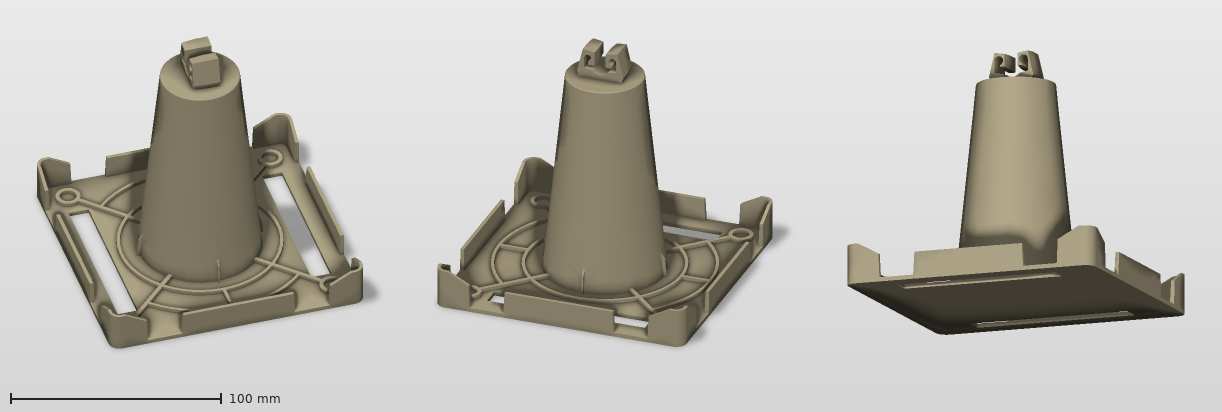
import cadquery as cq
import math

side = 126.0
overall_height = 119.7

plate_thickness = 2.0
corner_radius = 5.3
slot_length = 80.0
slot_width = 10.0
slot_offset = 48.0

wall_foot = 2.1
wall_draft = 2.0
corner_wall_top = 19.3
corner_flat = 6.9
corner_tip_top = 13.6
corner_tip_reach = 17.4
corner_foot_reach = 17.9
side_wall_top = 13.1
side_wall_top_half = 27.3
side_wall_foot_half = 28.0

rib_top = 4.2
rib_width = 1.5
diagonal_rib_width = 2.0
inner_ring_radius = 39.6
outer_ring_radius = 54.2
boss_offset = 50.1
boss_diameter = 12.0
boss_bore = 8.1

pillar_foot_radius = 29.7
pillar_top_radius = 19.0
pillar_top = 104.5
pillar_edge_round = 0.6

fin_width = 0.8
fin_foot_reach = 31.5
fin_shoulder_reach = 30.5
fin_shoulder_height = 11.3
fin_tip_reach = 28.4
fin_top = 14.2

clip_half_length = 6.5
clip_draft = 4.0
clip_foot_half = 10.6
clip_widest_half = 11.7
clip_widest_height = 107.6
clip_crest_half = 8.8
lip_half_gap = 2.8
lip_top = 118.7
lip_bottom = 111.8
lip_tip = 6.0
eye_x = 6.3
eye_height = 115.2
eye_radius = 1.8
floor_edge_height = 109.7
groove_edge_height = 109.0
groove_diameter = 10.0
groove_half_width = 3.9

half_side = side / 2


def cylinder(radius, bottom, top):
    return cq.Workplane("XY").workplane(offset=bottom).circle(radius).extrude(top - bottom)


def ring_rib(radius):
    """Circular rib on the plate, given its outer radius."""
    return cylinder(radius, 0, rib_top).cut(cylinder(radius - rib_width, 0, rib_top))


def spoke_rib(start, end, width, angle):
    """Straight radial rib on the plate."""
    spoke = cq.Workplane("XY").box(end - start, width, rib_top, centered=(False, True, False))
    return spoke.translate((start, 0, 0)).rotate((0, 0, 0), (0, 0, 1), angle)


def four_corners(offset):
    return [(x, y) for x in (-offset, offset) for y in (-offset, offset)]


def make_plate():
    slots = [(0, -slot_offset), (0, slot_offset)]
    plate = cq.Workplane("XY").rect(side, side).extrude(plate_thickness).edges("|Z").fillet(corner_radius)
    return plate.cut(cq.Workplane("XY").pushPoints(slots).rect(slot_length, slot_width).extrude(plate_thickness))


def make_rim():
    """Rim standing on the plate, cut down to four corner walls and four side walls."""
    rim_height = corner_wall_top - plate_thickness
    plate_top = cq.Workplane("XY").workplane(offset=plate_thickness)
    rim = plate_top.rect(side, side).extrude(rim_height).edges("|Z").fillet(corner_radius)
    inner_side = side - 2 * wall_foot
    inner_outline = cq.Sketch().rect(inner_side, inner_side).vertices().fillet(corner_radius - wall_foot)
    rim = rim.cut(plate_top.placeSketch(inner_outline).extrude(rim_height, taper=-wall_draft))

    right_of_gap = [
        (half_side - corner_foot_reach, plate_thickness),
        (half_side - corner_tip_reach, corner_tip_top),
        (half_side - corner_flat, corner_wall_top),
    ]
    left_of_gap = [
        (side_wall_top_half, side_wall_top),
        (side_wall_foot_half, plate_thickness),
    ]
    mirrored_right = [(-x, z) for x, z in reversed(right_of_gap)]
    mirrored_left = [(-x, z) for x, z in reversed(left_of_gap)]
    outline = right_of_gap + mirrored_right + mirrored_left + left_of_gap
    opening = cq.Workplane("XZ").polyline(outline).close().extrude(half_side, both=True)
    return rim.cut(opening).cut(opening.rotate((0, 0, 0), (0, 0, 1), 90))


def make_outer_arcs():
    """Outer ring rib, kept only in the left and right quarters between the diagonals."""
    reach = outer_ring_radius
    quarters = cq.Workplane("XY")
    for direction in (-1, 1):
        corner_x = direction * reach
        triangle = [(0, 0), (corner_x, reach), (corner_x, -reach)]
        quarters = quarters.add(cq.Workplane("XY").polyline(triangle).close().extrude(rib_top))
    return ring_rib(outer_ring_radius).intersect(quarters.combine())


def make_pillar():
    pillar = (
        cq.Workplane("XZ")
        .moveTo(0, 0)
        .lineTo(pillar_foot_radius, 0)
        .lineTo(pillar_foot_radius, plate_thickness)
        .lineTo(pillar_top_radius, pillar_top)
        .lineTo(0, pillar_top)
        .close()
        .revolve(360, (0, 0, 0), (0, 1, 0))
    )
    return pillar.faces(">Z").edges().fillet(pillar_edge_round)


def make_fins():
    """Two crossed blades whose ends stand out of the pillar as four fins."""
    outline = [
        (-fin_foot_reach, 0),
        (-fin_shoulder_reach, fin_shoulder_height),
        (-fin_tip_reach, fin_top),
        (fin_tip_reach, fin_top),
        (fin_shoulder_reach, fin_shoulder_height),
        (fin_foot_reach, 0),
    ]
    blade = cq.Workplane("XZ").polyline(outline).close().extrude(fin_width / 2, both=True)
    return blade.union(blade.rotate((0, 0, 0), (0, 0, 1), 90))


def make_base():
    base = make_plate().union(make_rim())
    base = base.union(ring_rib(inner_ring_radius)).union(make_outer_arcs())
    for angle in (0, 180):
        base = base.union(spoke_rib(inner_ring_radius - rib_width, outer_ring_radius, rib_width, angle))
    boss_distance = boss_offset * math.sqrt(2)
    for angle in (45, 135, 225, 315):
        base = base.union(spoke_rib(0, boss_distance, diagonal_rib_width, angle))
    bosses = cq.Workplane("XY").pushPoints(four_corners(boss_offset)).circle(boss_diameter / 2).extrude(rib_top)
    bores = (
        cq.Workplane("XY")
        .workplane(offset=plate_thickness)
        .pushPoints(four_corners(boss_offset))
        .circle(boss_bore / 2)
        .extrude(rib_top - plate_thickness)
    )
    return base.union(bosses).cut(bores).union(make_pillar()).union(make_fins())


def clip_outline():
    """Closed clip profile in the XZ plane, symmetrical about the Z axis."""
    groove_radius = groove_diameter / 2
    groove_sag = groove_radius - math.sqrt(groove_radius**2 - groove_half_width**2)
    groove_bottom = groove_edge_height - groove_sag
    eye_outer = eye_x + eye_radius
    eye_lowest = eye_height - math.sqrt(eye_radius**2 - (eye_x - lip_tip) ** 2)
    eye_diagonal = eye_radius / math.sqrt(2)
    eye_middle = (eye_x - eye_diagonal, eye_height + eye_diagonal)
    return (
        cq.Workplane("XZ")
        .moveTo(-clip_foot_half, pillar_top)
        .lineTo(clip_foot_half, pillar_top)
        .lineTo(clip_widest_half, clip_widest_height)
        .lineTo(clip_crest_half, overall_height)
        .lineTo(lip_half_gap, lip_top)
        .lineTo(lip_half_gap, lip_bottom)
        .lineTo(lip_tip, lip_bottom)
        .lineTo(lip_tip, eye_lowest)
        .threePointArc(eye_middle, (eye_outer, eye_height))
        .lineTo(eye_outer, floor_edge_height)
        .lineTo(groove_half_width, groove_edge_height)
        .threePointArc((0, groove_bottom), (-groove_half_width, groove_edge_height))
        .lineTo(-eye_outer, floor_edge_height)
        .lineTo(-eye_outer, eye_height)
        .threePointArc((-eye_middle[0], eye_middle[1]), (-lip_tip, eye_lowest))
        .lineTo(-lip_tip, lip_bottom)
        .lineTo(-lip_half_gap, lip_bottom)
        .lineTo(-lip_half_gap, lip_top)
        .lineTo(-clip_crest_half, overall_height)
        .lineTo(-clip_widest_half, clip_widest_height)
        .close()
    )


def make_clip():
    """Straight rear half and a front half that tapers towards its end."""
    rear = clip_outline().extrude(-clip_half_length)
    front = clip_outline().extrude(clip_half_length, taper=clip_draft)
    return rear.union(front)


base = make_base()
clip = make_clip()
result = cq.Compound.makeCompound([base.solids().val(), clip.solids().val()])